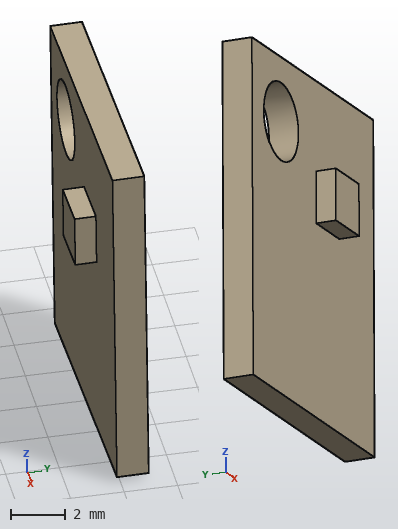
import cadquery as cq

plate_width = 10.5
plate_height = 13.0
plate_thickness = 1.2

hole_diameter = 3.0
hole_x = -2.75
hole_z = 4.0

pad_side = 2.0
pad_height = 0.8
pad_x = 1.26
pad_z = 2.0

lean_about_x = 0.42
roll_about_y = -1.42
turn_about_z = 0.62

front_face_y = -plate_thickness / 2


def make_plate():
    """Rectangular plate with one round through hole."""
    plate = cq.Workplane("XY").box(plate_width, plate_thickness, plate_height)
    hole = (
        cq.Workplane("XZ", origin=(hole_x, -front_face_y, hole_z))
        .circle(hole_diameter / 2)
        .extrude(plate_thickness)
    )
    return plate.cut(hole)


def make_pad():
    """Square pad resting on the front face of the plate."""
    return (
        cq.Workplane("XZ", origin=(pad_x, front_face_y, pad_z))
        .rect(pad_side, pad_side)
        .extrude(pad_height)
    )


def tilt(body):
    """Turn a body about the plate centre into the assembly's tilted position."""
    centre = (0, 0, 0)
    leaned = body.rotate(centre, (1, 0, 0), lean_about_x)
    rolled = leaned.rotate(centre, (0, 1, 0), roll_about_y)
    return rolled.rotate(centre, (0, 0, 1), turn_about_z)


plate = tilt(make_plate())
pad = tilt(make_pad())

result = cq.Compound.makeCompound([plate.val(), pad.val()])